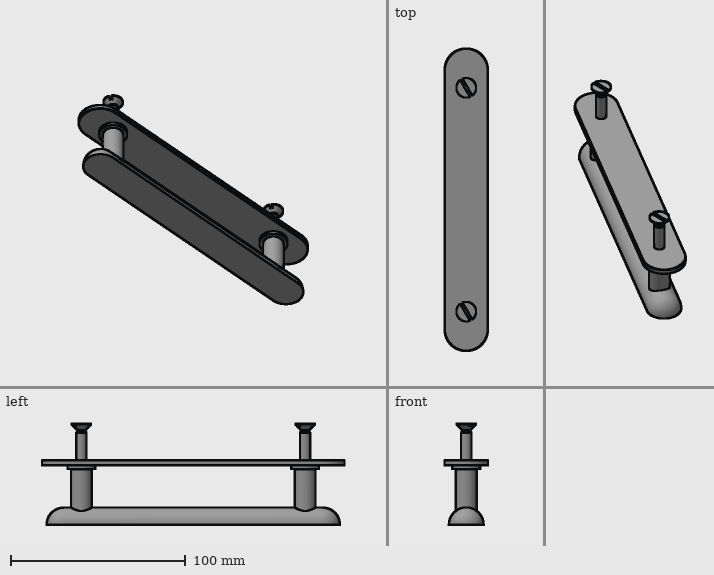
import cadquery as cq
import math

plate_length = 173.2
plate_width = 25.0
plate_thickness = 3.1
plate_chamfer = 0.26

grip_length = 168.0
grip_radius = 10.0
post_spacing = 128.0
post_diameter = 12.1
post_chamfer = 0.26

washer_diameter = 16.1
washer_thickness = 2.0

head_diameter = 11.3
head_rim = 0.5
neck_diameter = 4.8
neck_length = 1.0
shank_diameter = 6.0
shank_engagement = 12.1
slot_width = 1.5
slot_depth = 1.5
slot_angle = 120.0

overall_height = 58.0
plate_top = 37.0
plate_bottom = plate_top - plate_thickness
post_top = plate_bottom - washer_thickness
screw_end = post_top - shank_engagement

post_centers = [(0, -post_spacing / 2), (0, post_spacing / 2)]


def cylinders_at_posts(diameter, bottom, top):
    """Upright cylinders centred on both posts."""
    return (
        cq.Workplane("XY", origin=(0, 0, bottom))
        .pushPoints(post_centers)
        .circle(diameter / 2)
        .extrude(top - bottom)
    )


def make_handle():
    """Half-round grip and its two posts with chamfered tops and blind holes for the screws."""
    half_length = grip_length / 2
    straight_end = half_length - grip_radius
    arc_offset = grip_radius * math.sqrt(0.5)
    grip = (
        cq.Workplane("XY")
        .moveTo(0, -half_length)
        .threePointArc((arc_offset, -straight_end - arc_offset), (grip_radius, -straight_end))
        .lineTo(grip_radius, straight_end)
        .threePointArc((arc_offset, straight_end + arc_offset), (0, half_length))
        .close()
        .revolve(180, (0, 0, 0), (0, -1, 0))
    )
    posts = cylinders_at_posts(post_diameter, grip_radius / 2, post_top).faces(">Z").edges().chamfer(post_chamfer)
    screw_holes = cylinders_at_posts(shank_diameter, screw_end, post_top)
    return grip.union(posts).cut(screw_holes)


def make_plate():
    """Round-ended plate with chamfered rims and two screw holes."""
    plate = (
        cq.Workplane("XY", origin=(0, 0, plate_bottom))
        .slot2D(plate_length, plate_width, 90)
        .extrude(plate_thickness)
        .faces("<Z or >Z")
        .edges()
        .chamfer(plate_chamfer)
    )
    return plate.cut(cylinders_at_posts(shank_diameter, plate_bottom, plate_top))


def make_washer(center):
    """Flat washer bored for the screw shank."""
    x, y = center
    return (
        cq.Workplane("XY", origin=(x, y, post_top))
        .circle(washer_diameter / 2)
        .extrude(washer_thickness)
        .faces(">Z")
        .workplane()
        .hole(shank_diameter)
    )


def make_screw(center):
    """Countersunk screw with an undercut neck and a slot across its head."""
    x, y = center
    head_radius = head_diameter / 2
    neck_radius = neck_diameter / 2
    shank_radius = shank_diameter / 2
    cone_top = overall_height - head_rim
    neck_top = cone_top - (head_radius - neck_radius)
    neck_bottom = neck_top - neck_length
    shank_top = neck_bottom - (shank_radius - neck_radius)
    body = (
        cq.Workplane("XZ")
        .moveTo(0, screw_end)
        .lineTo(shank_radius, screw_end)
        .lineTo(shank_radius, shank_top)
        .lineTo(neck_radius, neck_bottom)
        .lineTo(neck_radius, neck_top)
        .lineTo(head_radius, cone_top)
        .lineTo(head_radius, overall_height)
        .lineTo(0, overall_height)
        .close()
        .revolve(360, (0, 0, 0), (0, 1, 0))
    )
    slot = (
        cq.Workplane("XY", origin=(0, 0, overall_height - slot_depth))
        .rect(2 * head_diameter, slot_width)
        .extrude(slot_depth)
        .rotate((0, 0, 0), (0, 0, 1), slot_angle)
    )
    return body.cut(slot).translate((x, y, 0))


handle = make_handle()
plate = make_plate()
washers = [make_washer(center).val() for center in post_centers]
screws = [make_screw(center).val() for center in post_centers]

result = cq.Compound.makeCompound([handle.val(), plate.val(), *washers, *screws])